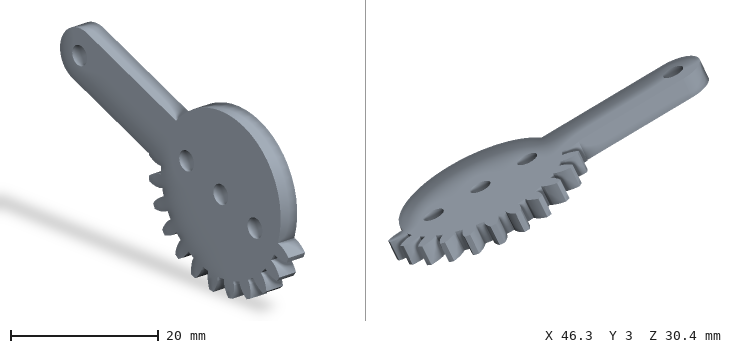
import cadquery as cq
import math

thickness = 3.0
hole_diameter = 3.0

tooth_positions = 24
tooth_count = 12
tip_radius = 14.65
module = 2 * tip_radius / (tooth_positions + 2)
pressure_angle = math.radians(20)
pitch_radius = module * tooth_positions / 2
dedendum_factor = 1.25
root_radius = pitch_radius - dedendum_factor * module
base_radius = pitch_radius * math.cos(pressure_angle)
tooth_pitch = 360 / tooth_positions
first_tooth_angle = 180 - tooth_pitch / 2
tooth_root_overlap = 0.25

arm_angle = 180 - 1.5 * tooth_pitch
arm_length = 30.95
arm_radius = 4.0
side_hole_distance = 7.5


def involute(pressure):
    return math.tan(pressure) - pressure


def flank_point(radius, side):
    """Point on one flank of a tooth that points along +X."""
    pressure = math.acos(min(1, base_radius / radius))
    half_angle = math.pi / (2 * tooth_positions) + involute(pressure_angle) - involute(pressure)
    return (radius * math.cos(half_angle), side * radius * math.sin(half_angle))


def make_tooth():
    """Involute tooth with radial flanks below the base circle."""
    base_half_angle = math.pi / (2 * tooth_positions) + involute(pressure_angle)
    foot_radius = root_radius - tooth_root_overlap
    foot_x = foot_radius * math.cos(base_half_angle)
    foot_y = foot_radius * math.sin(base_half_angle)
    return (
        cq.Workplane("XZ")
        .moveTo(foot_x, -foot_y)
        .lineTo(*flank_point(base_radius, -1))
        .threePointArc(flank_point(pitch_radius, -1), flank_point(tip_radius, -1))
        .threePointArc((tip_radius, 0), flank_point(tip_radius, 1))
        .threePointArc(flank_point(pitch_radius, 1), flank_point(base_radius, 1))
        .lineTo(foot_x, foot_y)
        .close()
        .extrude(thickness)
    )


def turn(body, angle):
    """Turn a body from +X towards +Z about the gear centre."""
    return body.rotate((0, 0, 0), (0, -1, 0), angle)


def make_arm():
    """Straight bar from the gear centre with a rounded outer end."""
    bar = (
        cq.Workplane("XZ")
        .moveTo(0, -arm_radius)
        .lineTo(arm_length, -arm_radius)
        .threePointArc((arm_length + arm_radius, 0), (arm_length, arm_radius))
        .lineTo(0, arm_radius)
        .close()
        .extrude(thickness)
    )
    return turn(bar, arm_angle)


def make_holes():
    """Through holes at the arm end, the gear centre and either side of it."""
    positions = [(x, 0) for x in (-side_hole_distance, 0, side_hole_distance, arm_length)]
    holes = cq.Workplane("XZ").pushPoints(positions).circle(hole_diameter / 2).extrude(thickness)
    return turn(holes, arm_angle)


plate = cq.Workplane("XZ").circle(root_radius).extrude(thickness).union(make_arm())
tooth = make_tooth()
for index in range(tooth_count):
    plate = plate.union(turn(tooth, first_tooth_angle + index * tooth_pitch))

result = plate.cut(make_holes())